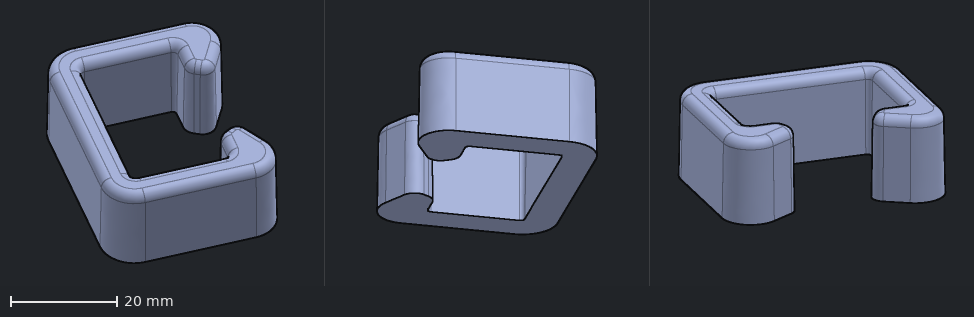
import cadquery as cq
import math

width = 44.5
depth = 34.5
height = 17.0

wall = 6.5
draft_angle = 1.0
top_fillet = 2.0

front_radius = 6.8
shoulder_radius = 5.75
tip_radius = 2.62
heel_radius = 2.7
inner_radius = 0.8

hook_slope = math.radians(30)
mouth_half_width = 6.9
hook_inner_y = 25.2

outer_x = width / 2
inner_x = outer_x - wall
shoulder_rise = shoulder_radius * (1 + math.sin(hook_slope)) / math.cos(hook_slope)
shoulder_y = depth - shoulder_radius + shoulder_rise
tip_y = shoulder_y - (outer_x - mouth_half_width) * math.tan(hook_slope)
heel_x = mouth_half_width + (tip_y - hook_inner_y) * math.tan(hook_slope)


def clip_outline():
    """C-shaped base outline with every corner rounded."""
    corners = [
        (outer_x, 0, front_radius),
        (outer_x, shoulder_y, shoulder_radius),
        (mouth_half_width, tip_y, tip_radius),
        (heel_x, hook_inner_y, heel_radius),
        (inner_x, hook_inner_y, inner_radius),
        (inner_x, wall, inner_radius),
    ]
    right_side = [(x, y) for x, y, _ in corners]
    left_side = [(-x, y) for x, y in reversed(right_side)]
    outline = cq.Workplane("XY").polyline(right_side + left_side).close().val()
    face = cq.Face.makeFromWires(outline)

    for x, y, radius in corners:
        for corner_x in (x, -x):
            corner = cq.Vector(corner_x, y, 0)
            vertex = min(face.Vertices(), key=lambda v: (v.Center() - corner).Length)
            face = face.fillet2D(radius, [vertex])
    return face.outerWire()


def make_clip():
    """Clip that narrows upward by the draft angle, with a rounded top rim."""
    body = cq.Workplane("XY").add(clip_outline()).toPending().extrude(height, taper=draft_angle)
    return body.faces(">Z").edges().fillet(top_fillet)


clip = make_clip()

result = cq.Compound.makeCompound([clip.val()])